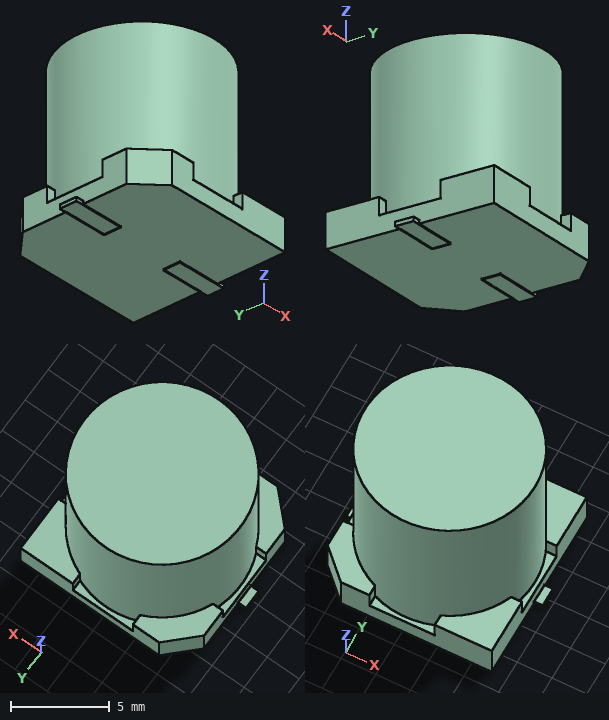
import cadquery as cq

overall_length = 11.3
overall_height = 10.54

base_side = 10.3
base_bottom = 0.05
base_top = 2.15
corner_cut = 1.64
opening_width = 3.75
opening_floor = 1.13

can_diameter = 9.8

lead_length = 3.39
lead_width = 1.13
lead_thickness = 0.25


def make_can():
    """Cylinder standing on the floor of the base recess."""
    return (
        cq.Workplane("XY", origin=(0, 0, opening_floor))
        .circle(can_diameter / 2)
        .extrude(overall_height - opening_floor)
    )


def make_lead(side):
    """Flat strip whose outer end is at the overall length; side is -1 or +1 along X."""
    center_x = side * (overall_length - lead_length) / 2
    return cq.Workplane("XY", origin=(center_x, 0, 0)).box(
        lead_length, lead_width, lead_thickness, centered=(True, True, False)
    )


def make_base(can, leads):
    """Plate with openings in all four sides, a seat for the can and slots for the leads."""
    base = (
        cq.Workplane("XY", origin=(0, 0, base_bottom))
        .rect(base_side, base_side)
        .extrude(base_top - base_bottom)
        .edges("|Z and <X")
        .chamfer(corner_cut)
    )
    openings = cq.Workplane("XY", origin=(0, 0, opening_floor))
    opening_depth = base_top - opening_floor
    for length_x, length_y in ((base_side, opening_width), (opening_width, base_side)):
        base = base.cut(openings.box(length_x, length_y, opening_depth, centered=(True, True, False)))
    base = base.cut(can)
    for lead in leads:
        base = base.cut(lead)
    return base


can = make_can()
leads = [make_lead(side) for side in (-1, 1)]
base = make_base(can, leads)

result = cq.Compound.makeCompound([base.val(), can.val(), *[lead.val() for lead in leads]])